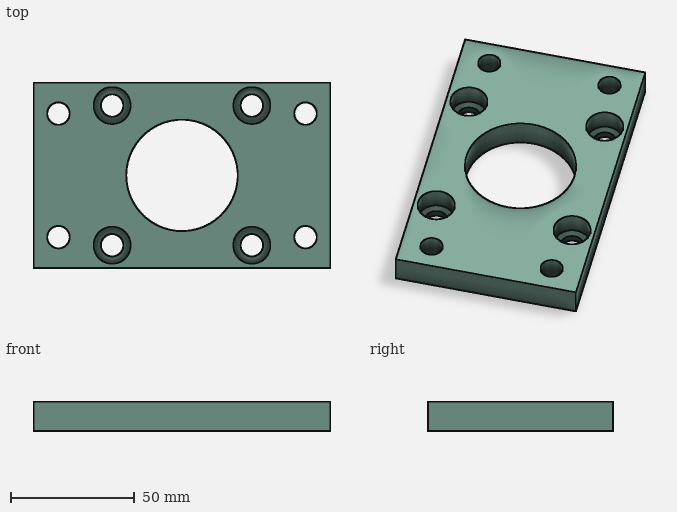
import cadquery as cq

length = 120.0
width = 75.0
thickness = 12.0

bore_diameter = 45.0

hole_diameter = 9.0
mount_spacing_x = 100.0
mount_spacing_y = mount_spacing_x / 2

counterbore_diameter = 15.0
counterbore_depth = 9.0
counterbore_spacing = 56.5

plate = cq.Workplane("XY").box(length, width, thickness)

bored_plate = plate.faces(">Z").workplane().hole(bore_diameter)

drilled_plate = (
    bored_plate.faces(">Z")
    .workplane()
    .rarray(mount_spacing_x, mount_spacing_y, 2, 2)
    .hole(hole_diameter)
)

result = (
    drilled_plate.faces(">Z")
    .workplane()
    .rarray(counterbore_spacing, counterbore_spacing, 2, 2)
    .cboreHole(hole_diameter, counterbore_diameter, counterbore_depth)
)